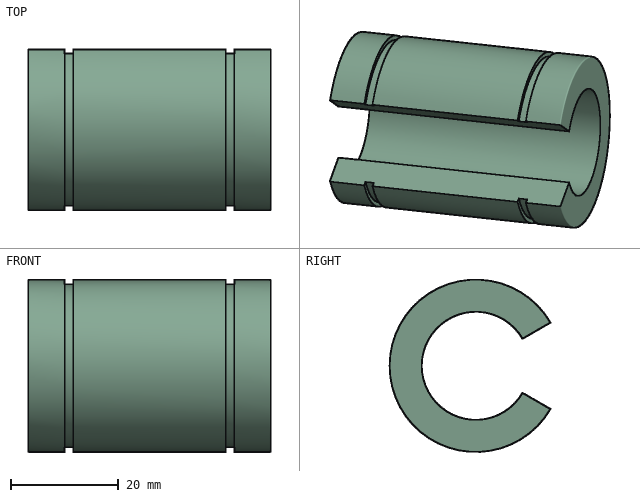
import cadquery as cq
import math

length = 45.0
outer_diameter = 32.0
bore_diameter = 20.0
gap_angle = 60.0
end_fillet = 0.25

groove_width = 1.6
groove_diameter = 30.3
groove_span = 31.5


def cross_section(x_start):
    """Workplane normal to the bushing axis at x_start, with local x along Y."""
    return cq.Workplane("YZ", origin=(x_start, 0, 0))


def sleeve():
    """Plain tube with both outer end edges rounded."""
    end = cross_section(-length / 2)
    body = end.circle(outer_diameter / 2).extrude(length)
    body = body.faces("<X or >X").edges().fillet(end_fillet)
    bore = end.circle(bore_diameter / 2).extrude(length)
    return body.cut(bore)


def groove_ring(x_start):
    """Ring of material removed for one retaining-ring groove."""
    return (
        cross_section(x_start)
        .circle(outer_diameter / 2)
        .circle(groove_diameter / 2)
        .extrude(groove_width)
    )


def gap_wedge():
    """Triangular prism with its apex on the axis, reaching past the outer surface."""
    reach = outer_diameter
    half_width = reach * math.tan(math.radians(gap_angle / 2))
    return (
        cross_section(-length / 2)
        .polyline([(0, 0), (reach, -half_width), (reach, half_width)])
        .close()
        .extrude(length)
    )


result = sleeve()
for groove_start in (-groove_span / 2, groove_span / 2 - groove_width):
    result = result.cut(groove_ring(groove_start))
result = result.cut(gap_wedge())